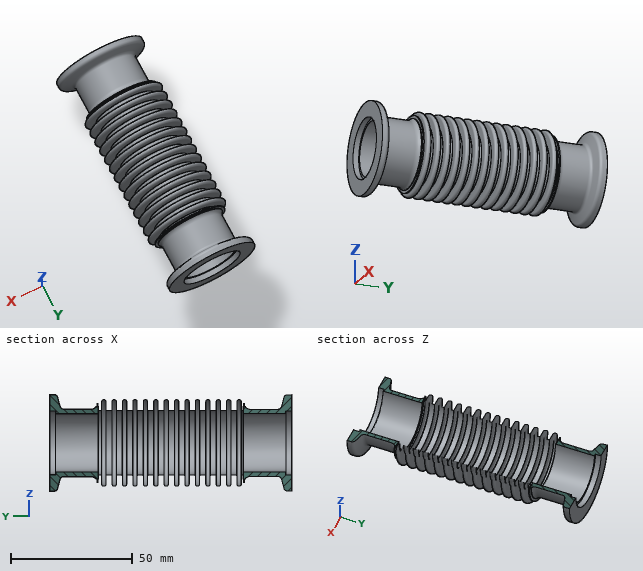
import cadquery as cq
import math

LENGTH = 100.0
HALF_LENGTH = LENGTH / 2

FLANGE_RADIUS = 40.0 / 2
BORE_RADIUS = 24.0 / 2
RECESS_RADIUS = 26.2 / 2
RECESS_DEPTH = 2.5
TUBE_RADIUS = 28.0 / 2
RIM_THICKNESS = 3.0
TAPER_ANGLE = 15.0
FLANGE_FILLET = 1.5

LIP_RADIUS = 32.6 / 2
LIP_THICKNESS = 0.5
FLARE_RADIUS = 30.0 / 2
FLARE_START = 17.2
FLARE_ARC_RADIUS = 2.5
FLANGE_LENGTH = 20.0

BELLOWS_OUTER_RADIUS = 26.9 / 2
BELLOWS_INNER_RADIUS = 26.6 / 2
WALL = BELLOWS_OUTER_RADIUS - BELLOWS_INNER_RADIUS
COLLAR_RADIUS = FLARE_RADIUS
BELLOWS_LENGTH = LENGTH - 2 * FLANGE_LENGTH
RING_RADIUS = 36.0 / 2
RING_WIDTH = 2.0
RING_COUNT = 14
RING_PITCH = 4.3
RING_SHIFT = -0.3


def revolve_about_y(profile):
    return profile.close().revolve(360, (0, 0, 0), (0, 1, 0))


def make_flange_end():
    """Flange at the -Y end: tapered rim, tube, flare and weld lip."""
    taper = math.radians(TAPER_ANGLE)
    taper_height = (FLANGE_RADIUS - TUBE_RADIUS) * math.tan(taper)
    half_turn = (math.pi / 2 - taper) / 2
    tangent_length = FLANGE_FILLET * math.tan(half_turn)
    along_radius = tangent_length * math.cos(taper)
    along_axis = tangent_length * math.sin(taper)
    mid_radial = FLANGE_FILLET * (1 - math.cos(half_turn))
    mid_axial = FLANGE_FILLET * math.sin(half_turn)

    face = -HALF_LENGTH
    rim_corner = face + RIM_THICKNESS
    root_corner = rim_corner + taper_height
    rim_tangent = rim_corner - tangent_length
    root_tangent = root_corner + tangent_length

    lip_end = face + FLANGE_LENGTH
    lip_start = lip_end - LIP_THICKNESS
    flare_start = face + FLARE_START
    flare_turn = math.acos(1 - (FLARE_RADIUS - TUBE_RADIUS) / FLARE_ARC_RADIUS)
    flare_end = flare_start + FLARE_ARC_RADIUS * math.sin(flare_turn)
    flare_mid = (
        TUBE_RADIUS + FLARE_ARC_RADIUS * (1 - math.cos(flare_turn / 2)),
        flare_start + FLARE_ARC_RADIUS * math.sin(flare_turn / 2),
    )

    profile = (
        cq.Workplane("XY")
        .moveTo(RECESS_RADIUS, face)
        .lineTo(FLANGE_RADIUS, face)
        .lineTo(FLANGE_RADIUS, rim_tangent)
        .threePointArc(
            (FLANGE_RADIUS - mid_radial, rim_tangent + mid_axial),
            (FLANGE_RADIUS - along_radius, rim_corner + along_axis),
        )
        .lineTo(TUBE_RADIUS + along_radius, root_corner - along_axis)
        .threePointArc(
            (TUBE_RADIUS + mid_radial, root_tangent - mid_axial),
            (TUBE_RADIUS, root_tangent),
        )
        .lineTo(TUBE_RADIUS, flare_start)
        .threePointArc(flare_mid, (FLARE_RADIUS, flare_end))
        .lineTo(FLARE_RADIUS, lip_start)
        .lineTo(LIP_RADIUS, lip_start)
        .lineTo(LIP_RADIUS, lip_end)
        .lineTo(BORE_RADIUS, lip_end)
        .lineTo(BORE_RADIUS, face + RECESS_DEPTH)
        .lineTo(RECESS_RADIUS, face + RECESS_DEPTH)
    )
    return revolve_about_y(profile)


def add_ring(profile, center, base_radius, tip_radius, half_width, direction):
    """Trace one ring with a round tip, going along Y in the given direction."""
    near_side = center - direction * half_width
    far_side = center + direction * half_width
    return (
        profile.lineTo(base_radius, near_side)
        .lineTo(tip_radius - half_width, near_side)
        .threePointArc((tip_radius, center), (tip_radius - half_width, far_side))
        .lineTo(base_radius, far_side)
    )


def make_bellows():
    """Hollow bellows: the inside follows the outside at the wall thickness."""
    end = BELLOWS_LENGTH / 2
    half_width = RING_WIDTH / 2
    first_center = RING_SHIFT - (RING_COUNT - 1) * RING_PITCH / 2
    centers = [first_center + i * RING_PITCH for i in range(RING_COUNT)]

    profile = (
        cq.Workplane("XY")
        .moveTo(BELLOWS_INNER_RADIUS, -end)
        .lineTo(COLLAR_RADIUS, -end)
        .lineTo(COLLAR_RADIUS, -end + WALL)
        .lineTo(BELLOWS_OUTER_RADIUS, -end + WALL)
    )
    for center in centers:
        profile = add_ring(profile, center, BELLOWS_OUTER_RADIUS, RING_RADIUS, half_width, 1)
    profile = (
        profile.lineTo(BELLOWS_OUTER_RADIUS, end - WALL)
        .lineTo(COLLAR_RADIUS, end - WALL)
        .lineTo(COLLAR_RADIUS, end)
        .lineTo(BELLOWS_INNER_RADIUS, end)
    )
    for center in reversed(centers):
        profile = add_ring(
            profile, center, BELLOWS_INNER_RADIUS, RING_RADIUS - WALL, half_width - WALL, -1
        )
    return revolve_about_y(profile)


flange_ends = [make_flange_end().rotate((0, 0, 0), (0, 0, 1), angle) for angle in (0, 180)]
bellows = make_bellows()

result = cq.Compound.makeCompound([*[flange.val() for flange in flange_ends], bellows.val()])